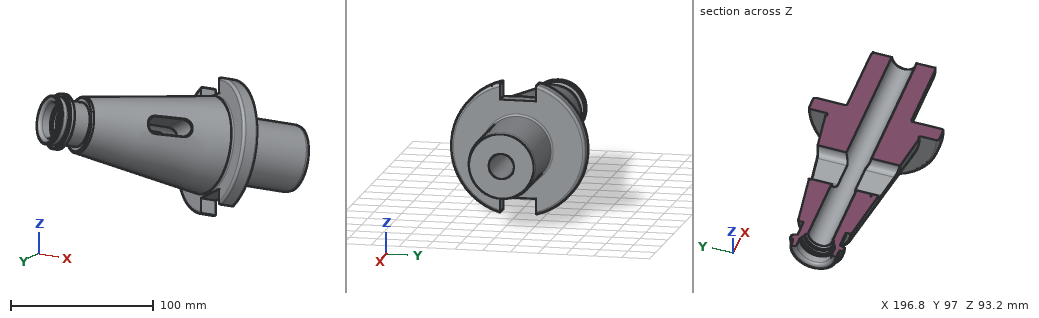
import cadquery as cq
import math

total_length = 196.8
collar_start = 6.7
neck_start = 12.0
cone_start = 24.5
cone_end = 127.7
flange_start = 130.0
flange_width = 12.0
flange_end = flange_start + flange_width

tip_radius = 17.3
tip_groove_radius = 17.0
collar_radius = 19.9
neck_radius = 16.0
gauge_radius = 35.0
undercut_radius = 34.2
undercut_flank = 0.5
undercut_root_fillet = 0.8
flange_diameter = 97.0
flange_radius = flange_diameter / 2
shank_radius = 24.0

taper_slope = 7 / 48
cone_start_radius = gauge_radius - taper_slope * (cone_end - cone_start)
cone_edge_length = 1.4
cone_edge_depth = 1.0

tip_land = 1.2
tip_edge_chamfer = 0.5
tip_groove_start = 2.4
tip_groove_end = 3.5
tip_shoulder = 5.3

collar_front_chamfer = 0.8
collar_back_start = 10.2
collar_crest_end = 11.0
collar_back_radius = 18.9

flange_edge_fillet = 2.0
shank_root_fillet = 1.4
shank_end_chamfer_length = 2.5
shank_end_chamfer_depth = 0.8

drive_slot_width = 25.8
drive_slot_floor = 35.2
drive_slot_chamfer = 0.5

cross_slot_start = 66.3
cross_slot_end = 98.4
cross_slot_height = 12.4
cross_slot_chamfer = 0.5

bore_radius = 9.0
mouth_radius = 13.0
mouth_depth = 8.7
mouth_fillet = 2.5
seat_radius = 12.0
seat_depth = 10.6
throat_radius = 10.6
throat_depth = 13.8


def make_body():
    """Turned outer shape, with its axis along X."""
    profile = (
        cq.Workplane("XY")
        .lineTo(0, tip_radius - tip_edge_chamfer)
        .lineTo(tip_edge_chamfer, tip_radius)
        .lineTo(tip_land, tip_radius)
        .lineTo(tip_groove_start, tip_groove_radius)
        .lineTo(tip_groove_end, tip_groove_radius)
        .lineTo(tip_shoulder, tip_radius)
        .lineTo(collar_start, tip_radius)
        .lineTo(collar_start, collar_radius - collar_front_chamfer)
        .lineTo(collar_start + collar_front_chamfer, collar_radius)
        .lineTo(collar_back_start, collar_radius)
        .lineTo(collar_crest_end, collar_back_radius)
        .lineTo(neck_start, neck_radius)
        .lineTo(cone_start, neck_radius)
        .lineTo(cone_start, cone_start_radius - cone_edge_depth)
        .lineTo(cone_start + cone_edge_length, cone_start_radius + taper_slope * cone_edge_length)
        .lineTo(cone_end, gauge_radius)
        .lineTo(cone_end + undercut_flank, undercut_radius)
        .lineTo(flange_start - undercut_root_fillet, undercut_radius)
        .radiusArc((flange_start, undercut_radius + undercut_root_fillet), -undercut_root_fillet)
        .lineTo(flange_start, flange_radius - flange_edge_fillet)
        .radiusArc((flange_start + flange_edge_fillet, flange_radius), flange_edge_fillet)
        .lineTo(flange_end - flange_edge_fillet, flange_radius)
        .radiusArc((flange_end, flange_radius - flange_edge_fillet), flange_edge_fillet)
        .lineTo(flange_end, shank_radius + shank_root_fillet)
        .radiusArc((flange_end + shank_root_fillet, shank_radius), -shank_root_fillet)
        .lineTo(total_length - shank_end_chamfer_length, shank_radius)
        .lineTo(total_length, shank_radius - shank_end_chamfer_depth)
        .lineTo(total_length, 0)
        .close()
    )
    return profile.revolve(360, (0, 0, 0), (1, 0, 0))


def make_bore():
    """Through bore with a stepped, rounded mouth at the tip."""
    profile = (
        cq.Workplane("XY")
        .lineTo(0, mouth_radius + mouth_fillet)
        .radiusArc((mouth_fillet, mouth_radius), -mouth_fillet)
        .lineTo(mouth_depth, mouth_radius)
        .lineTo(mouth_depth + mouth_radius - seat_radius, seat_radius)
        .lineTo(seat_depth, seat_radius)
        .lineTo(seat_depth + seat_radius - throat_radius, throat_radius)
        .lineTo(throat_depth, throat_radius)
        .lineTo(throat_depth + throat_radius - bore_radius, bore_radius)
        .lineTo(total_length, bore_radius)
        .lineTo(total_length, 0)
        .close()
    )
    return profile.revolve(360, (0, 0, 0), (1, 0, 0))


def make_drive_slots():
    """Square slots across the flange rim, at +Z and -Z, with 45 degree chamfers at their mouths."""
    half_width = drive_slot_width / 2
    rim_height = math.sqrt(flange_radius**2 - (half_width + drive_slot_chamfer) ** 2)
    chamfer_start = rim_height - drive_slot_chamfer
    mouth_half_width = half_width + flange_radius - chamfer_start
    top_slot = (
        cq.Workplane("YZ", origin=(flange_start, 0, 0))
        .moveTo(-half_width, drive_slot_floor)
        .lineTo(half_width, drive_slot_floor)
        .lineTo(half_width, chamfer_start)
        .lineTo(mouth_half_width, flange_radius)
        .lineTo(-mouth_half_width, flange_radius)
        .lineTo(-half_width, chamfer_start)
        .close()
        .extrude(flange_width)
    )
    return top_slot.union(top_slot.mirror("XY"))


def cut_cross_slot(body):
    """Cut a round-ended slot right through the cone along Y and break its rims on the cone."""
    slot = (
        cq.Workplane("XZ")
        .center((cross_slot_start + cross_slot_end) / 2, 0)
        .slot2D(cross_slot_end - cross_slot_start, cross_slot_height)
        .extrude(gauge_radius, both=True)
    )
    slotted = body.cut(slot)
    half_height = cross_slot_height / 2 + cross_slot_chamfer
    for side in (1, -1):
        rim = cq.selectors.BoxSelector(
            (cross_slot_start - cross_slot_chamfer, side * neck_radius, -half_height),
            (cross_slot_end + cross_slot_chamfer, side * gauge_radius, half_height),
        )
        slotted = slotted.edges(rim).chamfer(cross_slot_chamfer)
    return slotted


result = cut_cross_slot(make_body()).cut(make_bore()).cut(make_drive_slots())